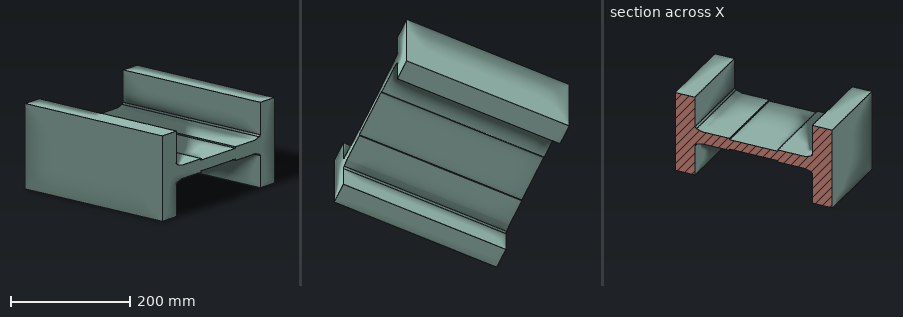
import cadquery as cq

length = 300.0
width = 295.0
height = 150.0

flange_thickness = 37.5
web_thickness = 24.0

recess_width = 90.0
recess_web_thickness = 19.0

gentle_slope_run = 11.5
gentle_slope_rise = 3.3
steep_slope_run = 3.0
steep_slope_rise = 3.0

flange_inner_y = width / 2 - flange_thickness
slope_break_y = flange_inner_y - steep_slope_run
slope_start_y = slope_break_y - gentle_slope_run
web_z = web_thickness / 2
slope_break_z = web_z + gentle_slope_rise
slope_end_z = slope_break_z + steep_slope_rise

quarter_outline = [
    (recess_width / 2, recess_web_thickness / 2),
    (recess_width / 2, web_z),
    (slope_start_y, web_z),
    (slope_break_y, slope_break_z),
    (flange_inner_y, slope_end_z),
    (flange_inner_y, height / 2),
    (width / 2, height / 2),
]


def mirrored_outline(quarter):
    """Closed section outline, symmetric about both of its axes."""
    top = [(-y, z) for y, z in reversed(quarter)] + quarter
    bottom = [(y, -z) for y, z in reversed(top)]
    return top + bottom


result = (
    cq.Workplane("YZ")
    .polyline(mirrored_outline(quarter_outline))
    .close()
    .extrude(length / 2, both=True)
)